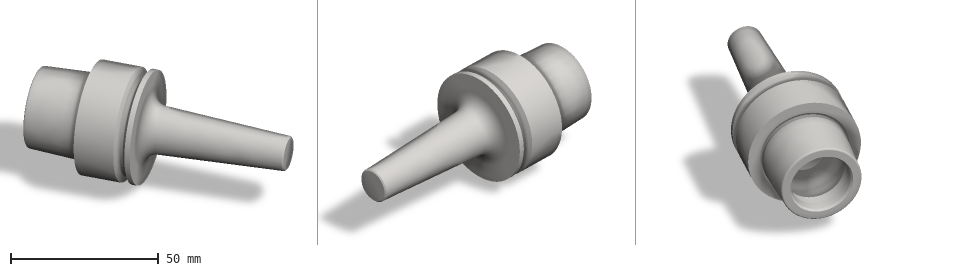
import cadquery as cq
import math

total_length = 90.0
body_radius = 20.0

body_start = 20.0
taper_small_radius = 14.2
taper_large_radius = 15.1
taper_length = 18.0
taper_nose_fillet = 0.6

land_end = 18.6
neck_start = 18.9
neck_radius = 14.8

relief_outer_radius = 15.9
relief_angle = 25.0
relief_fillet = 0.6

body_end = 40.0
groove_start = 34.1
groove_end = 38.1
groove_bottom_radius = 17.5
groove_wall_angle = 27.0
groove_fillet = 0.4

nose_angle = 3.0
nose_tip_radius = 6.0
nose_root_fillet = 5.0
nose_tip_chamfer = 0.45

bore_radius = 10.5
bore_mouth_radius = 11.1
bore_mouth_chamfer_length = 0.9
bore_lip_depth = 8.2
undercut_radius = 12.8
undercut_fillet = 2.8
undercut_fillet_start = 15.8
bore_depth = undercut_fillet_start + undercut_fillet

hole_radius = 5.7
hole_mouth_radius = 6.2
hole_chamfer = hole_mouth_radius - hole_radius
hole_depth = 7.2

selection_margin = 0.1


def revolve_about_x(profile):
    """Turn a closed (axial, radial) profile a full circle about the X axis."""
    return profile.close().revolve(360, (0, 0, 0), (1, 0, 0))


def fillet_circle(solid, axial, radius, fillet_radius):
    """Round the circular edge found at one axial place and radius."""
    side = radius + selection_margin
    box = cq.selectors.BoxSelector(
        (axial - selection_margin, -side, -side),
        (axial + selection_margin, side, side),
        boundingbox=True,
    )
    return solid.edges(box).fillet(fillet_radius)


def outer_body():
    """Taper shank, neck, grooved flange and conical nose as one turned solid."""
    groove_wall_run = (body_radius - groove_bottom_radius) * math.tan(math.radians(groove_wall_angle))
    nose_root_radius = nose_tip_radius + (total_length - body_end) * math.tan(math.radians(nose_angle))
    groove_corners = (groove_start + groove_wall_run, groove_end - groove_wall_run)

    relief_slope = math.radians(relief_angle)
    arc_end_radius = neck_radius + relief_fillet * (1 - math.sin(relief_slope))
    arc_end = body_start + (relief_outer_radius - arc_end_radius) * math.tan(relief_slope)
    arc_start = arc_end - relief_fillet * math.cos(relief_slope)

    body = revolve_about_x(
        cq.Workplane("XY")
        .moveTo(0, 0)
        .lineTo(0, taper_small_radius)
        .lineTo(taper_length, taper_large_radius)
        .lineTo(land_end, taper_large_radius)
        .lineTo(neck_start, neck_radius)
        .lineTo(arc_start, neck_radius)
        .radiusArc((arc_end, arc_end_radius), -relief_fillet)
        .lineTo(body_start, relief_outer_radius)
        .lineTo(body_start, body_radius)
        .lineTo(groove_start, body_radius)
        .lineTo(groove_corners[0], groove_bottom_radius)
        .lineTo(groove_corners[1], groove_bottom_radius)
        .lineTo(groove_end, body_radius)
        .lineTo(body_end, body_radius)
        .lineTo(body_end, nose_root_radius)
        .lineTo(total_length, nose_tip_radius)
        .lineTo(total_length, 0)
    )
    body = fillet_circle(body, 0, taper_small_radius, taper_nose_fillet)
    for corner in groove_corners:
        body = fillet_circle(body, corner, groove_bottom_radius, groove_fillet)
    body = fillet_circle(body, body_end, nose_root_radius, nose_root_fillet)
    return body.faces(">X").edges().chamfer(nose_tip_chamfer)


def stepped_bore():
    """Chamfered mouth, straight lip, wider undercut with a rounded floor, then a blind hole."""
    hole_end = bore_depth + hole_depth
    return revolve_about_x(
        cq.Workplane("XY")
        .moveTo(0, 0)
        .lineTo(0, bore_mouth_radius)
        .lineTo(bore_mouth_chamfer_length, bore_radius)
        .lineTo(bore_lip_depth, bore_radius)
        .lineTo(bore_lip_depth, undercut_radius)
        .lineTo(undercut_fillet_start, undercut_radius)
        .radiusArc((bore_depth, undercut_radius - undercut_fillet), undercut_fillet)
        .lineTo(bore_depth, hole_mouth_radius)
        .lineTo(bore_depth + hole_chamfer, hole_radius)
        .lineTo(hole_end, hole_radius)
        .lineTo(hole_end, 0)
    )


result = outer_body().cut(stepped_bore())